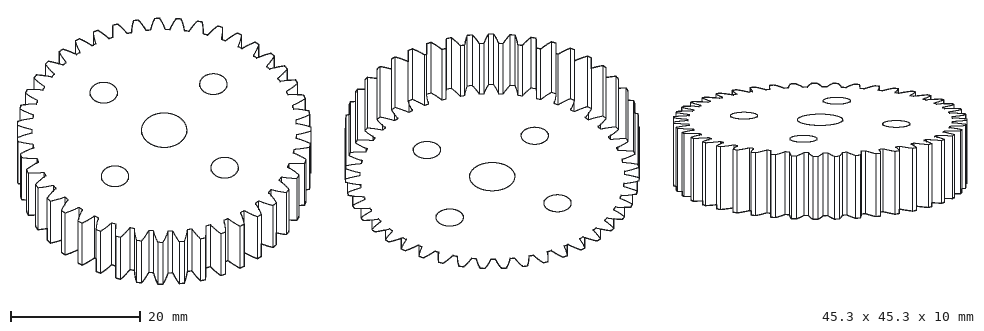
import cadquery as cq
import math

tooth_count = 43
tip_radius = 22.65
root_radius = 20.4
gear_width = 10.0
pitch_angle = 360.0 / tooth_count
first_tooth_angle = 90.0

root_half_angle = 3.2
middle_half_angle = 2.2
tip_half_angle = 1.0
middle_radius = (root_radius + tip_radius) / 2

bore_diameter = 7.0
bolt_hole_diameter = 4.2
bolt_hole_count = 4
bolt_circle_radius = 12.0


def polar(radius, angle):
    """Point at a radius and an angle in degrees."""
    return (radius * math.cos(math.radians(angle)), radius * math.sin(math.radians(angle)))


def gear_outline():
    """Closed outline: each tooth has bowed flanks, a round tip and a round root gap."""
    outline = cq.Workplane("XY").moveTo(*polar(root_radius, first_tooth_angle - root_half_angle))
    for tooth in range(tooth_count):
        centre = first_tooth_angle + tooth * pitch_angle
        next_centre = centre + pitch_angle
        outline = outline.threePointArc(
            polar(middle_radius, centre - middle_half_angle),
            polar(tip_radius, centre - tip_half_angle),
        )
        outline = outline.threePointArc(
            polar(tip_radius, centre),
            polar(tip_radius, centre + tip_half_angle),
        )
        outline = outline.threePointArc(
            polar(middle_radius, centre + middle_half_angle),
            polar(root_radius, centre + root_half_angle),
        )
        outline = outline.threePointArc(
            polar(root_radius, centre + pitch_angle / 2),
            polar(root_radius, next_centre - root_half_angle),
        )
    return outline.close()


def bore():
    """Cylinder removed along the gear axis."""
    return cq.Workplane("XY").circle(bore_diameter / 2).extrude(gear_width)


def bolt_holes():
    """Cylinders removed on the bolt circle, the first on +X."""
    return (
        cq.Workplane("XY")
        .polarArray(bolt_circle_radius, 0, 360, bolt_hole_count)
        .circle(bolt_hole_diameter / 2)
        .extrude(gear_width)
    )


result = gear_outline().extrude(gear_width).cut(bore()).cut(bolt_holes())